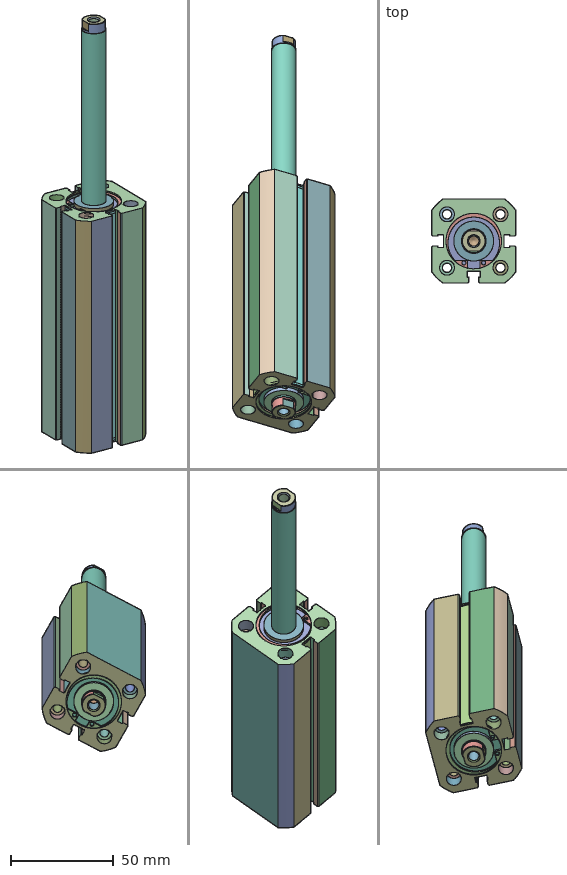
import cadquery as cq
import math


HOUSING_WIDTH = 41.0
HOUSING_LENGTH = 123.0
CORNER_RADIUS = 25.4
BORE_RADIUS = 13.5
MOUNT_SPACING = 26.0
MOUNT_HOLE_DIAMETER = 4.4
MOUNT_COUNTERBORE_DIAMETER = 7.2
MOUNT_COUNTERBORE_DEPTH = 7.0

GROOVE_RADIUS = 14.7
RING_THICKNESS = 1.2
RING_OUTER_RADIUS = 14.1
RING_INSET = 0.8
RING_INNER_RADIUS = 12.55
RING_INNER_OFFSET = 0.9
RING_GAP_HALF_WIDTH = 3.1
EAR_OUTER_X = 8.8
EAR_INNER_EDGE = 9.4
EAR_HOLE_X = 4.8
EAR_HOLE_Y = 10.6
EAR_HOLE_DIAMETER = 2.0

SLOT_MOUTH_HALF_WIDTH = 2.4
SLOT_HALF_WIDTH = 3.05
SLOT_LIP_DEPTH = 3.0
SLOT_MOUTH_CHAMFER = 0.5
SLOT_WALL = 0.07
SLOT_FLOOR = GROOVE_RADIUS + SLOT_WALL
SLOT_ANGLES = (0, 180, 270)

COLLAR_DEPTH = 15.0
COLLAR_BOSS_RADIUS = 9.7

ROD_RADIUS = 6.0
ROD_TOP_REACH = 96.0
ROD_BOTTOM_REACH = 6.0
ROD_TOP = HOUSING_LENGTH + ROD_TOP_REACH
ROD_BOTTOM = -ROD_BOTTOM_REACH
NECK_RADIUS = 5.7
NECK_LENGTH = 5.0
ROD_END_CHAMFER = 0.2
FLAT_SPACING = 9.9
FLAT_LENGTH = 4.0
THREAD_RADIUS = 2.5
THREAD_CHAMFER = 0.6
THREAD_DEPTH = 12.0
DRILL_POINT_ANGLE = 118.0

HALF_WIDTH = HOUSING_WIDTH / 2
RING_DEPTH = RING_INSET + RING_THICKNESS


def mirrored_to_bottom(body):
    """Copy of a body at the top end, mirrored to the bottom end of the housing."""
    return body.mirror("XY", (0, 0, HOUSING_LENGTH / 2))


def sensor_slot():
    """Cutter for a slot with lips, open towards +X over the full housing length."""
    lip = HALF_WIDTH - SLOT_LIP_DEPTH
    chamfer_start = HALF_WIDTH - SLOT_MOUTH_CHAMFER
    upper = [
        (SLOT_FLOOR, SLOT_HALF_WIDTH),
        (lip, SLOT_HALF_WIDTH),
        (lip, SLOT_MOUTH_HALF_WIDTH),
        (chamfer_start, SLOT_MOUTH_HALF_WIDTH),
        (HALF_WIDTH, SLOT_MOUTH_HALF_WIDTH + SLOT_MOUTH_CHAMFER),
    ]
    lower = [(x, -y) for x, y in reversed(upper)]
    return cq.Workplane("XY").polyline(upper + lower).close().extrude(HOUSING_LENGTH)


def ring_groove():
    """Cutter for the snap ring groove at the top end."""
    return (
        cq.Workplane("XY", origin=(0, 0, HOUSING_LENGTH - RING_DEPTH))
        .circle(GROOVE_RADIUS)
        .extrude(RING_THICKNESS)
    )


def make_housing():
    square = cq.Workplane("XY").rect(HOUSING_WIDTH, HOUSING_WIDTH).extrude(HOUSING_LENGTH)
    turned = cq.Workplane("XY").circle(CORNER_RADIUS).extrude(HOUSING_LENGTH)
    body = square.intersect(turned)

    bore = cq.Workplane("XY").circle(BORE_RADIUS).extrude(HOUSING_LENGTH)
    body = body.cut(bore)
    body = body.cut(ring_groove()).cut(mirrored_to_bottom(ring_groove()))

    for angle in SLOT_ANGLES:
        body = body.cut(sensor_slot().rotate((0, 0, 0), (0, 0, 1), angle))

    for face in (">Z", "<Z"):
        body = (
            body.faces(face)
            .workplane(origin=(0, 0, 0))
            .rect(MOUNT_SPACING, MOUNT_SPACING, forConstruction=True)
            .vertices()
            .cboreHole(MOUNT_HOLE_DIAMETER, MOUNT_COUNTERBORE_DIAMETER, MOUNT_COUNTERBORE_DEPTH)
        )
    return body


def make_collar():
    """Top rod guide: a disc under the snap ring with a boss flush with the housing end."""
    disc_height = COLLAR_DEPTH - RING_DEPTH
    disc = (
        cq.Workplane("XY", origin=(0, 0, HOUSING_LENGTH - COLLAR_DEPTH))
        .circle(BORE_RADIUS)
        .circle(ROD_RADIUS)
        .extrude(disc_height)
    )
    boss = (
        cq.Workplane("XY", origin=(0, 0, HOUSING_LENGTH - RING_DEPTH))
        .circle(COLLAR_BOSS_RADIUS)
        .circle(ROD_RADIUS)
        .extrude(RING_DEPTH)
    )
    return disc.union(boss)


def make_snap_ring():
    """Top snap ring: tapered towards a gap at -Y, with a drilled ear on each side of the gap."""
    plane = cq.Workplane("XY", origin=(0, 0, HOUSING_LENGTH - RING_DEPTH))
    disc = plane.circle(RING_OUTER_RADIUS).extrude(RING_THICKNESS)
    opening = plane.center(0, -RING_INNER_OFFSET).circle(RING_INNER_RADIUS).extrude(RING_THICKNESS)

    ear_height = GROOVE_RADIUS - EAR_INNER_EDGE
    ear_centre_y = -(GROOVE_RADIUS + EAR_INNER_EDGE) / 2
    ears = plane.center(0, ear_centre_y).rect(2 * EAR_OUTER_X, ear_height).extrude(RING_THICKNESS)
    gap = plane.center(0, ear_centre_y).rect(2 * RING_GAP_HALF_WIDTH, ear_height).extrude(RING_THICKNESS)
    ear_holes = (
        plane.pushPoints([(side * EAR_HOLE_X, -EAR_HOLE_Y) for side in (-1, 1)])
        .circle(EAR_HOLE_DIAMETER / 2)
        .extrude(RING_THICKNESS)
    )
    return disc.cut(opening.cut(ears)).cut(gap).cut(ear_holes)


def thread_hole():
    """Cutter for the chamfered thread hole with a drill point, entering at Z = 0 downwards."""
    point_depth = THREAD_RADIUS / math.tan(math.radians(DRILL_POINT_ANGLE / 2))
    profile = [
        (0, 0),
        (THREAD_RADIUS + THREAD_CHAMFER, 0),
        (THREAD_RADIUS, -THREAD_CHAMFER),
        (THREAD_RADIUS, -THREAD_DEPTH),
        (0, -THREAD_DEPTH - point_depth),
    ]
    return cq.Workplane("XZ").polyline(profile).close().revolve(360, (0, 0), (0, 1))


def rod_end_cutter():
    """Material removed from a rod end at Z = 0: wrench flats and thread hole."""
    flats = (
        cq.Workplane("XY")
        .pushPoints([(side * (FLAT_SPACING / 2 + ROD_RADIUS), 0) for side in (-1, 1)])
        .rect(2 * ROD_RADIUS, 2 * ROD_RADIUS)
        .extrude(-FLAT_LENGTH)
    )
    return flats.union(thread_hole())


def make_rod():
    end_radius = NECK_RADIUS - ROD_END_CHAMFER
    profile = [
        (0, ROD_BOTTOM),
        (end_radius, ROD_BOTTOM),
        (NECK_RADIUS, ROD_BOTTOM + ROD_END_CHAMFER),
        (NECK_RADIUS, ROD_BOTTOM + NECK_LENGTH),
        (ROD_RADIUS, ROD_BOTTOM + NECK_LENGTH),
        (ROD_RADIUS, ROD_TOP - NECK_LENGTH),
        (NECK_RADIUS, ROD_TOP - NECK_LENGTH),
        (NECK_RADIUS, ROD_TOP - ROD_END_CHAMFER),
        (end_radius, ROD_TOP),
        (0, ROD_TOP),
    ]
    rod = cq.Workplane("XZ").polyline(profile).close().revolve(360, (0, 0), (0, 1))
    top_cutter = rod_end_cutter().translate((0, 0, ROD_TOP))
    bottom_cutter = rod_end_cutter().mirror("XY").translate((0, 0, ROD_BOTTOM))
    return rod.cut(top_cutter).cut(bottom_cutter).rotate((0, 0, 0), (0, 0, 1), -90)


housing = make_housing()
rod = make_rod()
top_collar = make_collar()
bottom_collar = mirrored_to_bottom(top_collar)
top_ring = make_snap_ring()
bottom_ring = mirrored_to_bottom(top_ring)

result = cq.Compound.makeCompound([
    housing.val(),
    rod.val(),
    top_collar.val(),
    bottom_collar.val(),
    top_ring.val(),
    bottom_ring.val(),
])